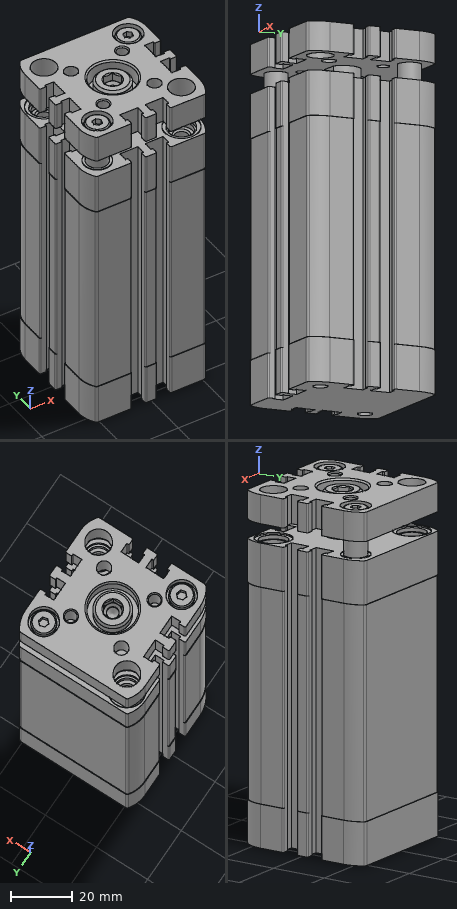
import cadquery as cq
import math

WIDTH = 47.0
TOTAL_HEIGHT = 120.5
PLATE_THICKNESS = 10.0
PLATE_GAP = 6.5
CAP_HEIGHT = 15.1
PLATE_BOTTOM = TOTAL_HEIGHT - PLATE_THICKNESS
HOUSING_TOP = PLATE_BOTTOM - PLATE_GAP
BARREL_INSET = 0.18

CORNER_RADIUS = 11.3
CORNER_START = 16.4
CORNER_BLEND = 1.2

NECK_NEAR = 2.2
NECK_FAR = 7.5
NECK_DEPTH = 2.5
SLOT_NEAR = 1.5
SLOT_FAR = 8.3
SLOT_DEPTH = 5.9
MOUTH_FILLET = 0.5
SLOTTED_SIDES = (-90, 0, 90)

CORNER_OFFSET = 16.3
ROD_CORNERS = [(-CORNER_OFFSET, -CORNER_OFFSET), (CORNER_OFFSET, CORNER_OFFSET)]
MOUNT_CORNERS = [(-CORNER_OFFSET, CORNER_OFFSET), (CORNER_OFFSET, -CORNER_OFFSET)]

GUIDE_ROD_DIAMETER = 8.0
PISTON_ROD_DIAMETER = 12.0
ROD_END = CAP_HEIGHT
FLATS_WIDTH = 10.0
FLATS_LENGTH = 4.8
FLATS_SHOULDER_DROP = 0.6

ROD_SEAL_DIAMETER = 10.0
ROD_SEAL_DEPTH = 0.2
MOUNT_HOLE_DIAMETER = 5.0
MOUNT_HOLE_CHAMFER = 0.6
MOUNT_BORE_DIAMETER = 8.5
MOUNT_BORE_DEPTH = 3.7
MOUNT_STEP_DIAMETER = 10.0
MOUNT_STEP_DEPTH = 1.8
MOUNT_RIM_DIAMETER = 12.8
MOUNT_RIM_DEPTH = 0.5

ACCESS_HOLE_DIAMETER = 9.0
FIXING_OFFSET = 9.9
DOWEL_HOLE_DIAMETER = 5.0
THREAD_DIAMETER = 4.1
FIXING_SIGNS = (-1, 1)

CENTRE_RECESS_DIAMETER = 17.0
CENTRE_RECESS_DEPTH = 6.0
CENTRE_RECESS_CHAMFER = 0.6
CENTRE_HEAD_DIAMETER = 13.0
CENTRE_HEAD_CHAMFER = 0.8
CENTRE_HEAD_SINK = 1.0
CENTRE_SOCKET_FLATS = 6.0
CENTRE_SOCKET_MOUTH = 7.0
CENTRE_SOCKET_DEPTH = 3.1
CENTRE_DRILL_DIAMETER = 4.1
CENTRE_DRILL_DEPTH = 0.6

ROD_RECESS_DIAMETER = 10.2
ROD_RECESS_DEPTH = 3.0
ROD_HEAD_DIAMETER = 8.5
ROD_HEAD_CHAMFER = 0.5
ROD_HEAD_SINK = 0.5
ROD_SOCKET_FLATS = 3.0
ROD_SOCKET_DEPTH = 2.0
ROD_SOCKET_ANGLE = 15


def cylinder(diameter, bottom, top, centre=(0, 0)):
    """Upright cylinder between two heights."""
    base = cq.Workplane("XY", origin=(centre[0], centre[1], bottom))
    return base.circle(diameter / 2).extrude(top - bottom)


def cone(bottom_diameter, top_diameter, bottom, top, centre=(0, 0)):
    """Upright cone between two heights."""
    base = cq.Vector(centre[0], centre[1], bottom)
    return cq.Workplane(cq.Solid.makeCone(bottom_diameter / 2, top_diameter / 2, top - bottom, base))


def hex_prism(flats, bottom, top, centre=(0, 0), angle=0):
    """Upright hexagonal prism, with a corner toward +X before it is turned by angle."""
    base = cq.Workplane("XY", origin=(centre[0], centre[1], bottom))
    prism = base.polygon(6, flats / math.cos(math.pi / 6)).extrude(top - bottom)
    axis_start = (centre[0], centre[1], 0)
    axis_end = (centre[0], centre[1], 1)
    return prism.rotate(axis_start, axis_end, angle)


def t_slot(front, height):
    """One T-slot in a front face at Y = front, right of the middle."""
    outer_face = -WIDTH / 2
    neck_end = outer_face + NECK_DEPTH
    slot_floor = outer_face + SLOT_DEPTH
    lip_end = front + MOUTH_FILLET
    arc_inset = MOUTH_FILLET * (1 - math.sqrt(0.5))
    return (
        cq.Workplane("XY")
        .moveTo(NECK_NEAR - MOUTH_FILLET, front)
        .threePointArc((NECK_NEAR - arc_inset, front + arc_inset), (NECK_NEAR, lip_end))
        .lineTo(NECK_NEAR, neck_end)
        .lineTo(SLOT_NEAR, neck_end)
        .lineTo(SLOT_NEAR, slot_floor)
        .lineTo(SLOT_FAR, slot_floor)
        .lineTo(SLOT_FAR, neck_end)
        .lineTo(NECK_FAR, neck_end)
        .lineTo(NECK_FAR, lip_end)
        .threePointArc((NECK_FAR + arc_inset, front + arc_inset), (NECK_FAR + MOUTH_FILLET, front))
        .close()
        .extrude(height)
    )


def slotted_block(inset, bottom, top):
    """Rounded square block with T-slots, drawn as its right half and mirrored."""
    half = WIDTH / 2 - inset
    height = top - bottom
    rise = half - CORNER_START
    sweep = math.asin(rise / CORNER_RADIUS)
    arc_end = half - CORNER_RADIUS * (1 - math.cos(sweep))
    mid_x = half - CORNER_RADIUS * (1 - math.cos(sweep / 2))
    mid_y = CORNER_START + CORNER_RADIUS * math.sin(sweep / 2)
    body = (
        cq.Workplane("XY")
        .moveTo(0, -half)
        .lineTo(arc_end, -half)
        .threePointArc((mid_x, -mid_y), (half, -CORNER_START))
        .lineTo(half, CORNER_START)
        .threePointArc((mid_x, mid_y), (arc_end, half))
        .lineTo(0, half)
        .mirrorY()
        .extrude(height)
    )
    for face in ("<Y", ">Y"):
        body = body.faces(face).edges("|Z").fillet(CORNER_BLEND)

    slot = t_slot(-half, height)
    for turn in SLOTTED_SIDES:
        for one_slot in (slot, slot.mirror("YZ")):
            body = body.cut(one_slot.rotate((0, 0, 0), (0, 0, 1), turn))
    return body.translate((0, 0, bottom))


def cut_mount_hole(body, corner):
    """Through hole with a chamfered mouth at the bottom of a stepped bore."""
    floor = HOUSING_TOP - MOUNT_BORE_DEPTH
    mouth = MOUNT_HOLE_DIAMETER + 2 * MOUNT_HOLE_CHAMFER
    body = body.cut(cylinder(MOUNT_HOLE_DIAMETER, 0, HOUSING_TOP, corner))
    body = body.cut(cone(MOUNT_HOLE_DIAMETER, mouth, floor - MOUNT_HOLE_CHAMFER, floor, corner))
    body = body.cut(cylinder(MOUNT_BORE_DIAMETER, floor, HOUSING_TOP, corner))
    body = body.cut(cylinder(MOUNT_STEP_DIAMETER, HOUSING_TOP - MOUNT_STEP_DEPTH, HOUSING_TOP, corner))
    return body.cut(cylinder(MOUNT_RIM_DIAMETER, HOUSING_TOP - MOUNT_RIM_DEPTH, HOUSING_TOP, corner))


def make_housing():
    """Barrel between two end caps, bored for the rods."""
    body = slotted_block(0, 0, CAP_HEIGHT)
    body = body.union(slotted_block(BARREL_INSET, CAP_HEIGHT, HOUSING_TOP - CAP_HEIGHT))
    body = body.union(slotted_block(0, HOUSING_TOP - CAP_HEIGHT, HOUSING_TOP))
    body = body.cut(cylinder(PISTON_ROD_DIAMETER, ROD_END, HOUSING_TOP))
    for corner in ROD_CORNERS:
        body = body.cut(cylinder(GUIDE_ROD_DIAMETER, ROD_END, HOUSING_TOP, corner))
        body = body.cut(cylinder(ROD_SEAL_DIAMETER, HOUSING_TOP - ROD_SEAL_DEPTH, HOUSING_TOP, corner))
    for corner in MOUNT_CORNERS:
        body = cut_mount_hole(body, corner)
    return body


def piston_rod():
    """Piston rod with two spanner flats just below the plate."""
    rod = cylinder(PISTON_ROD_DIAMETER, ROD_END, PLATE_BOTTOM)
    radius = PISTON_ROD_DIAMETER / 2
    shoulder = PLATE_BOTTOM - FLATS_LENGTH
    flat_cut = (
        cq.Workplane("YZ")
        .moveTo(FLATS_WIDTH / 2, PLATE_BOTTOM)
        .lineTo(FLATS_WIDTH / 2, shoulder)
        .lineTo(radius, shoulder - FLATS_SHOULDER_DROP)
        .lineTo(radius, PLATE_BOTTOM)
        .close()
        .extrude(radius, both=True)
    )
    return rod.cut(flat_cut).cut(flat_cut.mirror("XZ"))


def cut_fixing_holes(plate):
    """Four small holes on the diagonals: two plain, and two with a chamfered thread."""
    chamfer = (DOWEL_HOLE_DIAMETER - THREAD_DIAMETER) / 2
    for sign in FIXING_SIGNS:
        offset = sign * FIXING_OFFSET
        plate = plate.cut(cylinder(DOWEL_HOLE_DIAMETER, PLATE_BOTTOM, TOTAL_HEIGHT, (-offset, offset)))
        threaded = (offset, offset)
        plate = plate.cut(cylinder(THREAD_DIAMETER, PLATE_BOTTOM, TOTAL_HEIGHT, threaded))
        mouth = cone(THREAD_DIAMETER, DOWEL_HOLE_DIAMETER, TOTAL_HEIGHT - chamfer, TOTAL_HEIGHT, threaded)
        plate = plate.cut(mouth)
    return plate


def add_centre_screw(plate):
    """Chamfered recess in the plate centre, holding a head with a hexagon socket."""
    floor = TOTAL_HEIGHT - CENTRE_RECESS_DEPTH
    rim = CENTRE_RECESS_DIAMETER + 2 * CENTRE_RECESS_CHAMFER
    plate = plate.cut(cylinder(CENTRE_RECESS_DIAMETER, floor, TOTAL_HEIGHT))
    plate = plate.cut(
        cone(CENTRE_RECESS_DIAMETER, rim, TOTAL_HEIGHT - CENTRE_RECESS_CHAMFER, TOTAL_HEIGHT)
    )

    head_top = TOTAL_HEIGHT - CENTRE_HEAD_SINK
    head = cylinder(CENTRE_HEAD_DIAMETER, floor, head_top)
    plate = plate.union(head.faces(">Z").chamfer(CENTRE_HEAD_CHAMFER))

    socket_floor = head_top - CENTRE_SOCKET_DEPTH
    mouth_depth = (CENTRE_SOCKET_MOUTH - CENTRE_SOCKET_FLATS) / 2
    funnel_end = socket_floor - (CENTRE_SOCKET_FLATS - CENTRE_DRILL_DIAMETER) / 2
    drill_end = funnel_end - CENTRE_DRILL_DEPTH
    plate = plate.cut(hex_prism(CENTRE_SOCKET_FLATS, socket_floor, head_top))
    plate = plate.cut(cone(CENTRE_SOCKET_FLATS, CENTRE_SOCKET_MOUTH, head_top - mouth_depth, head_top))
    plate = plate.cut(cone(CENTRE_DRILL_DIAMETER, CENTRE_SOCKET_FLATS, funnel_end, socket_floor))
    plate = plate.cut(cylinder(CENTRE_DRILL_DIAMETER, drill_end, funnel_end))
    return plate.cut(cone(0, CENTRE_DRILL_DIAMETER, drill_end - CENTRE_DRILL_DIAMETER / 2, drill_end))


def add_rod_screw(plate, corner):
    """Recess above a guide rod, holding a head with a hexagon socket."""
    floor = TOTAL_HEIGHT - ROD_RECESS_DEPTH
    head_top = TOTAL_HEIGHT - ROD_HEAD_SINK
    head = cylinder(ROD_HEAD_DIAMETER, floor, head_top, corner).faces(">Z").chamfer(ROD_HEAD_CHAMFER)
    socket = hex_prism(ROD_SOCKET_FLATS, head_top - ROD_SOCKET_DEPTH, head_top, corner, ROD_SOCKET_ANGLE)
    plate = plate.cut(cylinder(ROD_RECESS_DIAMETER, floor, TOTAL_HEIGHT, corner))
    return plate.union(head).cut(socket)


def make_carriage():
    """Front plate together with the piston rod and the two guide rods."""
    plate = slotted_block(0, PLATE_BOTTOM, TOTAL_HEIGHT)
    for corner in MOUNT_CORNERS:
        plate = plate.cut(cylinder(ACCESS_HOLE_DIAMETER, PLATE_BOTTOM, TOTAL_HEIGHT, corner))
    plate = cut_fixing_holes(plate)
    plate = add_centre_screw(plate)
    for corner in ROD_CORNERS:
        plate = add_rod_screw(plate, corner)
        plate = plate.union(cylinder(GUIDE_ROD_DIAMETER, ROD_END, PLATE_BOTTOM, corner))
    return plate.union(piston_rod())


housing = make_housing()
carriage = make_carriage()

result = cq.Compound.makeCompound([housing.val(), carriage.val()])